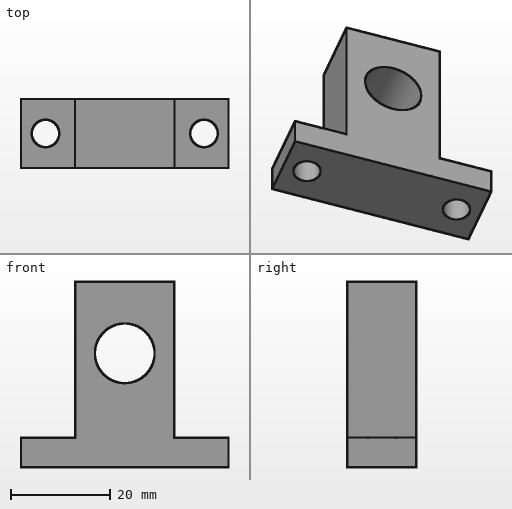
import cadquery as cq

length = 42.0
depth = 14.0
base_height = 6.0

total_height = 37.5
block_width = 20.0

bore_diameter = 12.0
bore_center_height = 23.0

mount_hole_diameter = 5.5
mount_hole_spacing = 32.0


def upright_box(width, height):
    """Full-depth box standing on the ground plane, centred in X and Y."""
    return cq.Workplane("XY").box(width, depth, height, centered=(True, True, False))


body = upright_box(length, base_height).union(upright_box(block_width, total_height))

shaft_bore = (
    cq.Workplane("XZ", origin=(0, depth / 2, bore_center_height))
    .circle(bore_diameter / 2)
    .extrude(depth)
)

mount_holes = (
    cq.Workplane("XY")
    .pushPoints([(side * mount_hole_spacing / 2, 0) for side in (-1, 1)])
    .circle(mount_hole_diameter / 2)
    .extrude(base_height)
)

result = body.cut(shaft_bore).cut(mount_holes)